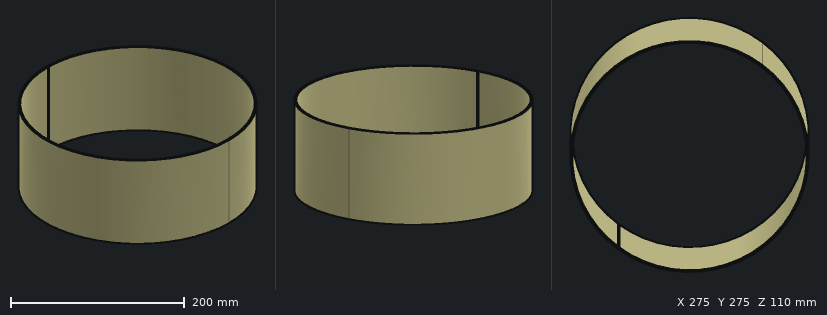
import cadquery as cq

outer_radius = 137.5
wall = 2.5
height = 110.0
rim_chamfer = 0.4

slit_width = 2.2
slit_center_y = 1.0
slit_depth = 2 * wall

ring = (
    cq.Workplane("XY")
    .circle(outer_radius)
    .circle(outer_radius - wall)
    .extrude(height)
)

ring = ring.faces("<Z or >Z").edges().chamfer(rim_chamfer)

slit = (
    cq.Workplane("XY")
    .center(-outer_radius, slit_center_y)
    .rect(2 * slit_depth, slit_width)
    .extrude(height)
)

result = ring.cut(slit)